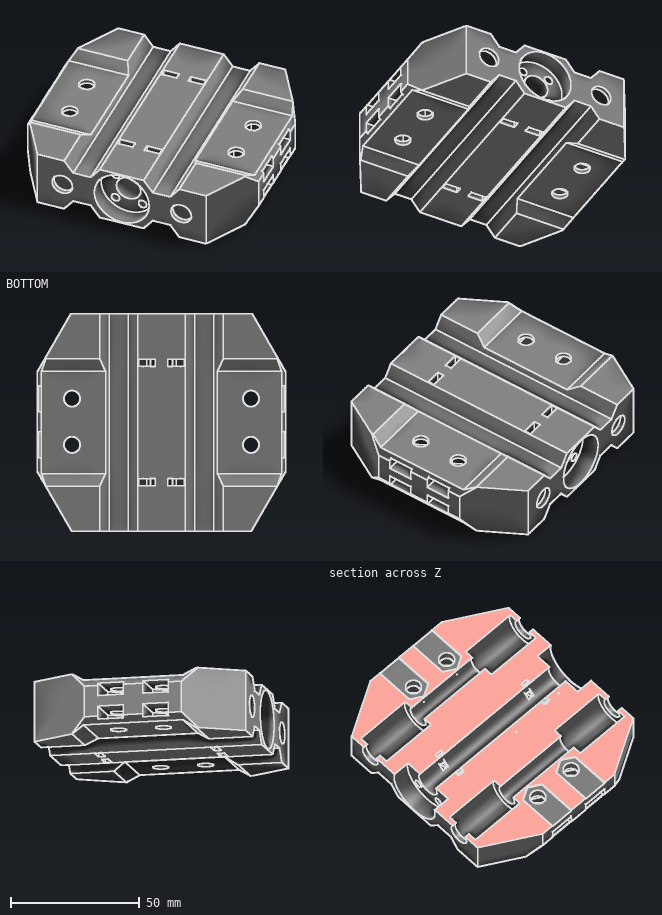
import cadquery as cq
import math

length_x = 97.0
length_y = 85.0
height = 24.0
half_x = length_x / 2
half_y = length_y / 2
half_z = height / 2

side_half_height = 6.1
side_bevel_run = 3.4

clamp_offset_y = -0.3
side_half_length = 19.5
corner_angle = 30.0

groove_x = 16.7
groove_depth = 4.9
groove_top_half = 7.5
groove_floor_half = 3.7

recess_depth = 3.0
recess_top_half = 24.9
recess_floor_half = 20.0

rod_x = 24.9
rod_diameter = 8.5
bearing_diameter = 15.1
bearing_length = 24.0
bearing_end_wall = 2.0
shaft_diameter = 10.2
seat_diameter = 23.0
seat_depth = 7.3

screw_diameter = 3.4
screw_spacing = 11.35
screw_half = screw_spacing / 2
screw_pattern_x = 0.2
screw_pattern_z = -0.5
small_nut_flats = 6.4
small_nut_slot_width = 2.7
small_nut_y = 23.3

clamp_x = 34.9
clamp_spacing = 18.0
clamp_diameter = 6.2
large_nut_flats = 10.2
large_nut_height = 5.0
large_nut_z = 4.7

SIDES = (-1, 1)

HEX_CORNER_RATIO = 1 / math.cos(math.radians(30))


def box_between(x_range, y_range, z_range):
    """Axis-aligned box spanning the given (low, high) ranges."""
    ranges = (x_range, y_range, z_range)
    sizes = [high - low for low, high in ranges]
    middle = tuple((low + high) / 2 for low, high in ranges)
    return cq.Workplane("XY").box(*sizes).translate(middle)


def full_length_bore(diameter, points):
    """Full-length cylinders along Y at the given (x, z) points."""
    plane = cq.Workplane("XZ", origin=(0, half_y, 0))
    return plane.pushPoints(points).circle(diameter / 2).extrude(length_y)


def make_block():
    """Beveled bar along Y with its four vertical corners cut off."""
    top_x = half_x - side_bevel_run
    profile = [
        (half_x, -side_half_height),
        (half_x, side_half_height),
        (top_x, half_z),
        (-top_x, half_z),
        (-half_x, side_half_height),
        (-half_x, -side_half_height),
        (-top_x, -half_z),
        (top_x, -half_z),
    ]
    bar = cq.Workplane("XZ", origin=(0, half_y, 0)).polyline(profile).close().extrude(length_y)

    side_back = clamp_offset_y + side_half_length
    side_front = clamp_offset_y - side_half_length
    slope = math.tan(math.radians(corner_angle))
    back_x = half_x - (half_y - side_back) * slope
    front_x = half_x - (half_y + side_front) * slope
    outline = [
        (half_x, side_front),
        (half_x, side_back),
        (back_x, half_y),
        (-back_x, half_y),
        (-half_x, side_back),
        (-half_x, side_front),
        (-front_x, -half_y),
        (front_x, -half_y),
    ]
    plan = cq.Workplane("XY", origin=(0, 0, -half_z)).polyline(outline).close().extrude(height)
    return bar.intersect(plan)


def groove(side_x, side_z):
    """Trapezoidal groove running the full length in Y."""
    centre = side_x * groove_x
    top_z = side_z * half_z
    floor_z = side_z * (half_z - groove_depth)
    profile = [
        (centre - groove_top_half, top_z),
        (centre - groove_floor_half, floor_z),
        (centre + groove_floor_half, floor_z),
        (centre + groove_top_half, top_z),
    ]
    plane = cq.Workplane("XZ", origin=(0, half_y, 0))
    return plane.polyline(profile).close().extrude(length_y)


def pad_recess(side_x, side_z):
    """Recess with sloped ends, from the groove out through the X side."""
    top_z = side_z * half_z
    floor_z = side_z * (half_z - recess_depth)
    profile = [
        (-recess_top_half, top_z),
        (-recess_floor_half, floor_z),
        (recess_floor_half, floor_z),
        (recess_top_half, top_z),
    ]
    plane = cq.Workplane("YZ", origin=(groove_x, 0, 0))
    cut = plane.polyline(profile).close().extrude(half_x - groove_x)
    return cut if side_x > 0 else cut.mirror("YZ")


def small_nut_slot(side_x, y, side_z):
    """Hexagonal nut seat, point toward the middle plane, open to the top or bottom face."""
    x = side_x * screw_half
    z = side_z * screw_half
    corner_diameter = small_nut_flats * HEX_CORNER_RATIO
    half_width = small_nut_slot_width / 2
    seat = (
        cq.Workplane("XZ", origin=(x, y + half_width, z))
        .transformed(rotate=(0, 0, 90))
        .polygon(6, corner_diameter)
        .extrude(small_nut_slot_width)
    )
    channel = box_between(
        (x - small_nut_flats / 2, x + small_nut_flats / 2),
        (y - half_width, y + half_width),
        sorted((z, side_z * half_z)),
    )
    return seat.union(channel)


def large_nut_pocket(side_x, y, side_z):
    """Hexagonal nut seat, point inward, open to the outer X side."""
    x = side_x * clamp_x
    z = side_z * large_nut_z
    corner_diameter = large_nut_flats * HEX_CORNER_RATIO
    half_nut = large_nut_height / 2
    seat = (
        cq.Workplane("XY", origin=(x, y, z - half_nut))
        .polygon(6, corner_diameter)
        .extrude(large_nut_height)
    )
    channel = box_between(
        sorted((x, side_x * half_x)),
        (y - large_nut_flats / 2, y + large_nut_flats / 2),
        (z - half_nut, z + half_nut),
    )
    return seat.union(channel)


body = make_block()

for side_x in SIDES:
    for side_z in SIDES:
        body = body.cut(groove(side_x, side_z)).cut(pad_recess(side_x, side_z))

body = body.cut(full_length_bore(rod_diameter, [(-rod_x, 0), (rod_x, 0)]))
body = body.cut(full_length_bore(shaft_diameter, [(0, 0)]))
screw_points = [
    (screw_pattern_x + side_x * screw_half, screw_pattern_z + side_z * screw_half)
    for side_x in SIDES
    for side_z in SIDES
]
body = body.cut(full_length_bore(screw_diameter, screw_points))

chamber_inner_y = bearing_end_wall + bearing_length - half_y
front_chambers = (
    cq.Workplane("XZ", origin=(0, chamber_inner_y, 0))
    .pushPoints([(-rod_x, 0), (rod_x, 0)])
    .circle(bearing_diameter / 2)
    .extrude(bearing_length)
)
body = body.cut(front_chambers).cut(front_chambers.mirror("XZ"))

seat_plane = cq.Workplane("XZ", origin=(0, seat_depth - half_y, 0))
front_seat = seat_plane.circle(seat_diameter / 2).extrude(seat_depth)
body = body.cut(front_seat).cut(front_seat.mirror("XZ"))

for side_x in SIDES:
    for y in (-small_nut_y, small_nut_y):
        for side_z in SIDES:
            body = body.cut(small_nut_slot(side_x, y, side_z))

for side_x in SIDES:
    for side_y in SIDES:
        y = clamp_offset_y + side_y * clamp_spacing / 2
        plane = cq.Workplane("XY", origin=(side_x * clamp_x, y, -half_z))
        body = body.cut(plane.circle(clamp_diameter / 2).extrude(height))
        for side_z in SIDES:
            body = body.cut(large_nut_pocket(side_x, y, side_z))

result = body